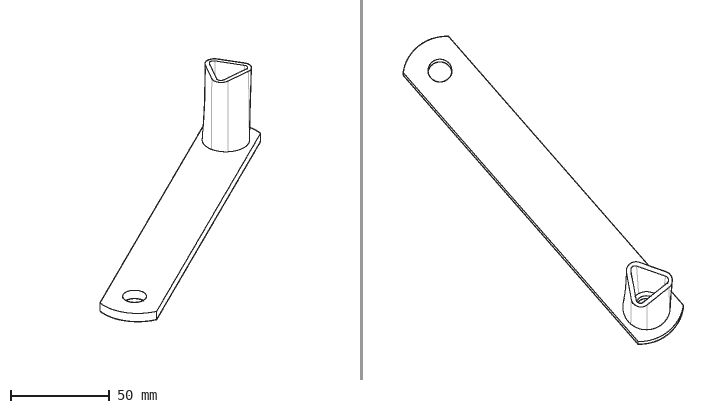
import cadquery as cq
import math

bar_length = 196.8
bar_width = 30.0
bar_thickness = 5.0
end_arc_rise = 5.7
hole_diameter = 12.0
hole_spacing = 163.0

total_height = 46.0
tube_outer_diameter = 24.0
tube_inner_diameter = 16.3
triangle_side_distance = 9.0
triangle_corner_radius = 5.0
inner_corner_radius = 2.2
triangle_wall = 2.4

tube_y = hole_spacing / 2


def polar_point(radius, angle):
    """Point at a distance and an angle in degrees from the tube axis."""
    return (
        radius * math.cos(math.radians(angle)),
        tube_y + radius * math.sin(math.radians(angle)),
    )


def make_bar():
    half_width = bar_width / 2
    half_length = bar_length / 2
    side_end = half_length - end_arc_rise
    return (
        cq.Workplane("XY")
        .moveTo(-half_width, -side_end)
        .threePointArc((0, -half_length), (half_width, -side_end))
        .lineTo(half_width, side_end)
        .threePointArc((0, half_length), (-half_width, side_end))
        .close()
        .extrude(bar_thickness)
    )


def make_transition(base_diameter, side_distance, corner_radius):
    """Solid from a circle to a triangle pointing to -Y.

    Both outlines have six matching pieces: one per flat side and one per corner.
    """
    base_radius = base_diameter / 2
    corner_centre = 2 * (side_distance - corner_radius)
    corner_tip = corner_centre + corner_radius
    half_side = corner_centre * math.sin(math.radians(60))
    tangent_radius = math.hypot(side_distance, half_side)
    side_half_angle = math.degrees(math.atan2(half_side, side_distance))

    first_angle = 90 - side_half_angle
    base = cq.Workplane("XY", origin=(0, 0, bar_thickness))
    base = base.moveTo(*polar_point(base_radius, first_angle))
    top = cq.Workplane("XY", origin=(0, 0, total_height))
    top = top.moveTo(*polar_point(tangent_radius, first_angle))
    for side_angle in (90, 210, 330):
        side_end_angle = side_angle + side_half_angle
        corner_angle = side_angle + 60
        next_side_angle = side_angle + 120 - side_half_angle
        base = base.threePointArc(
            polar_point(base_radius, side_angle), polar_point(base_radius, side_end_angle)
        ).threePointArc(
            polar_point(base_radius, corner_angle), polar_point(base_radius, next_side_angle)
        )
        top = top.lineTo(*polar_point(tangent_radius, side_end_angle)).threePointArc(
            polar_point(corner_tip, corner_angle), polar_point(tangent_radius, next_side_angle)
        )
    outlines = [base.close().val(), top.close().val()]
    return cq.Workplane(cq.Solid.makeLoft(outlines, True))


outer = make_transition(tube_outer_diameter, triangle_side_distance, triangle_corner_radius)
inner = make_transition(
    tube_inner_diameter,
    triangle_side_distance - triangle_wall,
    inner_corner_radius,
)
tube = outer.cut(inner)

holes = (
    cq.Workplane("XY")
    .pushPoints([(0, tube_y), (0, -tube_y)])
    .circle(hole_diameter / 2)
    .extrude(bar_thickness)
)

result = make_bar().cut(holes).union(tube)